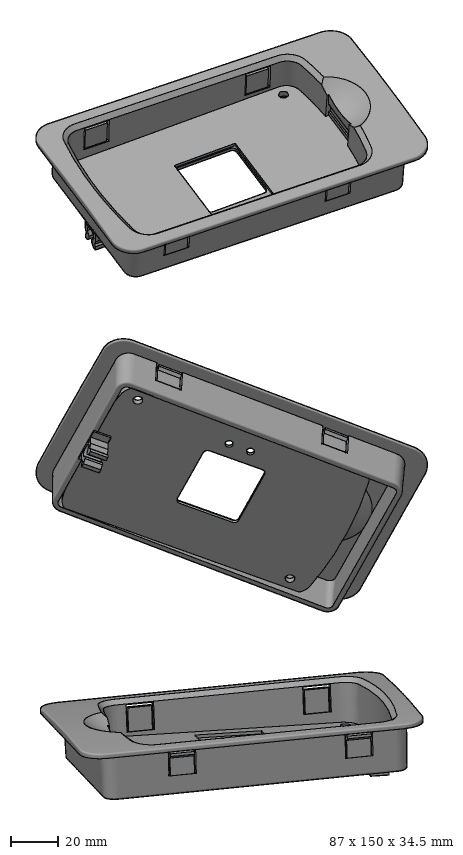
import cadquery as cq
import math

TILT = 2.0

FLANGE_WIDTH = 87.0
FLANGE_LENGTH = 150.0
FLANGE_CORNER = 10.0
FLANGE_HEIGHT = 3.5
CROWN_RADIUS = 644.9
FLANGE_TOP_FILLET = 0.7
FLANGE_BOTTOM_FILLET = 0.5
RIM_CHAMFER = 2.1

SKIRT_HALF_WIDTH = 38.1
SKIRT_FRONT = -68.2
SKIRT_BACK = 65.5
SKIRT_DEPTH = 20.2
SKIRT_CORNER = 6.0
SKIRT_INNER_CORNER = 3.0
SKIRT_WALL = 2.5
SKIRT_DRAFT = 1.5
SKIRT_BOTTOM_FILLET = 0.9

POCKET_HALF_WIDTH = 35.7
POCKET_FRONT = -65.2
POCKET_BACK = 51.5
POCKET_CORNER = 7.5
POCKET_END_RADIUS = 172.5
POCKET_DRAFT = 1.5
TRAY_WALL = 2.4

FLOOR_TOP = -15.0
FLOOR_THICKNESS = 2.8
FLOOR_BOTTOM = FLOOR_TOP - FLOOR_THICKNESS

SCOOP_RADIUS = 27.7
SCOOP_RIM_RADIUS = 18.5
SCOOP_Y = 45.6

PANEL_WIDTH = 20.1
PANEL_Y = 51.7
LATCH_SLOT_LIFT = 2.2
LATCH_SLOT_HEIGHT = 4.0
LATCH_SLOT_DEPTH = 0.7

RECESS_LEFT = -13.3
RECESS_RIGHT = 30.0
RECESS_FRONT = -20.4
RECESS_BACK = 8.7
RECESS_DEPTH = 1.3
OPENING_WIDTH = 30.7
OPENING_MARGIN = 0.6
OPENING_CORNER = 2.1
SENSOR_HOLE_DIAMETER = 3.5
SENSOR_HOLES = [(24.7, -2.4), (24.7, -12.3)]
SCREW_HOLE_DIAMETER = 4.0
SCREW_HOLES = [(-30.1, 40.6), (30.1, -57.1)]

TAB_CENTRES = [31.3, -45.9]
TAB_WIDTH = 10.5
TAB_THICKNESS = 1.8
TAB_FACE = 37.6
TAB_TOP = -1.5
WINDOW_WIDTH = 12.0
WINDOW_DEPTH = 12.0
BARB_TIP = 39.0
BARB_LEAD = 0.5
BARB_FLAT = 1.2
BARB_HEIGHT = 2.7

CLIP_BACK = -59.5
CLIP_LENGTH = 8.1
CLIP_PAD_WIDTH = 15.9
CLIP_PAD_DROP = 1.0
CLIP_HALF_WIDTH = 4.8
CLIP_SLOT_RADIUS = 2.77
CLIP_SLOT_SPRING = -4.6
CLIP_SLOT_SIDE = 0.6
CLIP_HOOK = [(4.8, -5.4), (3.7, -7.8), (4.5, -8.7), (4.5, -10.6), (2.7, -10.6), (1.2, -8.8), (1.2, -7.2)]
CLIP_HOLE_DIAMETER = 1.6
CLIP_HOLE_DROP = 1.5


def block(x0, x1, y0, y1, z0, z1):
    return cq.Workplane("XY").box(x1 - x0, y1 - y0, z1 - z0, centered=False).translate((x0, y0, z0))


def slab(z0, z1):
    """A level layer wider and longer than the part."""
    return block(-FLANGE_WIDTH, FLANGE_WIDTH, -FLANGE_LENGTH, FLANGE_LENGTH, z0, z1)


def tilted(shape):
    return shape.rotate((0, 0, 0), (1, 0, 0), -TILT)


def both_sides(shape):
    return shape.union(shape.mirror("YZ"))


def pocket_block(grow):
    """Drafted block with straight sides and bowed ends, from the top of the flange downwards."""
    half_width = POCKET_HALF_WIDTH + grow
    front = POCKET_FRONT - grow
    back = POCKET_BACK + grow
    bow = POCKET_END_RADIUS - math.sqrt(POCKET_END_RADIUS**2 - half_width**2)
    return (
        cq.Workplane("XY", origin=(0, 0, FLANGE_HEIGHT))
        .sketch()
        .segment((half_width, front + bow), (half_width, back - bow))
        .arc((half_width, back - bow), (0, back), (-half_width, back - bow))
        .segment((-half_width, front + bow))
        .arc((-half_width, front + bow), (0, front), (half_width, front + bow))
        .assemble()
        .vertices()
        .fillet(POCKET_CORNER + grow)
        .finalize()
        .extrude(-SKIRT_DEPTH - FLANGE_HEIGHT, taper=POCKET_DRAFT)
    )


def flange():
    """Crowned plate with the chamfered mouth of the pocket."""
    plate = (
        cq.Workplane("XY")
        .rect(FLANGE_WIDTH, FLANGE_LENGTH)
        .extrude(FLANGE_HEIGHT)
        .edges("|Z")
        .fillet(FLANGE_CORNER)
    )
    crown = (
        cq.Workplane("XZ", origin=(0, 0, FLANGE_HEIGHT - CROWN_RADIUS))
        .circle(CROWN_RADIUS)
        .extrude(FLANGE_LENGTH, both=True)
    )
    plate = plate.intersect(crown)
    plate = plate.faces(">Z").edges().fillet(FLANGE_TOP_FILLET)
    plate = plate.faces("<Z").edges().fillet(FLANGE_BOTTOM_FILLET)
    mouth = cq.selectors.BoxSelector(
        (-SKIRT_HALF_WIDTH, SKIRT_FRONT, RIM_CHAMFER / 2),
        (SKIRT_HALF_WIDTH, SKIRT_BACK, 2 * FLANGE_HEIGHT),
        boundingbox=True,
    )
    return plate.cut(pocket_block(0)).edges(mouth).chamfer(RIM_CHAMFER)


def skirt_block(inset, corner):
    width = 2 * (SKIRT_HALF_WIDTH - inset)
    length = SKIRT_BACK - SKIRT_FRONT - 2 * inset
    return (
        cq.Workplane("XY", origin=(0, (SKIRT_FRONT + SKIRT_BACK) / 2, 0))
        .sketch()
        .rect(width, length)
        .vertices()
        .fillet(corner)
        .finalize()
        .extrude(-SKIRT_DEPTH, taper=SKIRT_DRAFT)
    )


def skirt_envelope():
    return skirt_block(0, SKIRT_CORNER).faces("<Z").edges().fillet(SKIRT_BOTTOM_FILLET)


def skirt():
    return skirt_envelope().cut(skirt_block(SKIRT_WALL, SKIRT_INNER_CORNER))


def scoop(grow):
    centre_height = FLANGE_HEIGHT + math.sqrt(SCOOP_RADIUS**2 - SCOOP_RIM_RADIUS**2)
    return cq.Workplane("XY").sphere(SCOOP_RADIUS + grow).translate((0, SCOOP_Y, centre_height))


def tray_envelope():
    """Solid around the pocket and the scoop, inside the skirt and down to the floor underside."""
    envelope = pocket_block(TRAY_WALL).union(scoop(TRAY_WALL)).intersect(skirt_envelope())
    return tilted(envelope).intersect(slab(FLOOR_BOTTOM, SKIRT_DEPTH))


def tray_cavity():
    pocket = tilted(pocket_block(0)).intersect(slab(FLOOR_TOP, SKIRT_DEPTH))
    return pocket.union(tilted(scoop(0)))


def latch():
    """Flat panel set into the bowed back wall, with a slot across it."""
    half = PANEL_WIDTH / 2
    slot_bottom = FLOOR_TOP + LATCH_SLOT_LIFT
    panel = block(-half, half, SCOOP_Y, PANEL_Y, FLOOR_TOP, -RIM_CHAMFER)
    slot = block(
        -half, half, SCOOP_Y, PANEL_Y + LATCH_SLOT_DEPTH,
        slot_bottom, slot_bottom + LATCH_SLOT_HEIGHT,
    )
    return panel.union(slot)


def floor_holes(points, diameter):
    floor = cq.Workplane("XY", origin=(0, 0, FLOOR_TOP))
    return floor.pushPoints(points).circle(diameter / 2).extrude(-FLOOR_THICKNESS)


def floor_window():
    recess = block(
        RECESS_LEFT, RECESS_RIGHT,
        RECESS_FRONT, RECESS_BACK,
        FLOOR_TOP - RECESS_DEPTH, FLOOR_TOP,
    )
    opening_left = RECESS_LEFT + OPENING_MARGIN
    opening = block(
        opening_left, opening_left + OPENING_WIDTH,
        RECESS_FRONT, RECESS_BACK - OPENING_MARGIN,
        FLOOR_BOTTOM, FLOOR_TOP,
    )
    return recess.union(opening.edges("|Z").fillet(OPENING_CORNER))


def side_window(y):
    return block(
        SKIRT_HALF_WIDTH - 2 * SKIRT_WALL, BARB_TIP,
        y - WINDOW_WIDTH / 2, y + WINDOW_WIDTH / 2,
        -WINDOW_DEPTH, 0,
    )


def snap_tab(y):
    inner = TAB_FACE - TAB_THICKNESS
    profile = [
        (inner, -WINDOW_DEPTH),
        (inner, TAB_TOP),
        (TAB_FACE, TAB_TOP),
        (BARB_TIP, TAB_TOP - BARB_LEAD),
        (BARB_TIP, TAB_TOP - BARB_LEAD - BARB_FLAT),
        (TAB_FACE, TAB_TOP - BARB_HEIGHT),
        (TAB_FACE, -WINDOW_DEPTH),
    ]
    return cq.Workplane("XZ", origin=(0, y + TAB_WIDTH / 2, 0)).polyline(profile).close().extrude(TAB_WIDTH)


def clip():
    """Two hooked legs around a round-topped slot, on a pad under the floor."""
    slot = CLIP_SLOT_RADIUS
    spring = CLIP_SLOT_SPRING
    plane = cq.Workplane("XZ", origin=(0, CLIP_BACK, FLOOR_BOTTOM))
    legs = (
        plane.polyline([(-CLIP_HALF_WIDTH, 0), (CLIP_HALF_WIDTH, 0), *CLIP_HOOK])
        .lineTo(slot, spring - CLIP_SLOT_SIDE)
        .lineTo(slot, spring)
        .threePointArc((0, spring + slot), (-slot, spring))
        .lineTo(-slot, spring - CLIP_SLOT_SIDE)
    )
    for x, z in reversed(CLIP_HOOK):
        legs = legs.lineTo(-x, z)
    legs = legs.close().extrude(CLIP_LENGTH)
    pad = block(
        -CLIP_PAD_WIDTH / 2, CLIP_PAD_WIDTH / 2,
        CLIP_BACK - CLIP_LENGTH, CLIP_BACK,
        FLOOR_BOTTOM - CLIP_PAD_DROP, FLOOR_BOTTOM,
    )
    holes = (
        plane.pushPoints([(-slot, -CLIP_HOLE_DROP), (slot, -CLIP_HOLE_DROP)])
        .circle(CLIP_HOLE_DIAMETER / 2)
        .extrude(CLIP_LENGTH)
    )
    return legs.union(pad).cut(holes)


body = tilted(skirt().union(flange())).union(tray_envelope())
body = body.cut(tray_cavity()).cut(latch()).cut(floor_window())
body = body.cut(floor_holes(SCREW_HOLES, SCREW_HOLE_DIAMETER))
body = body.cut(floor_holes(SENSOR_HOLES, SENSOR_HOLE_DIAMETER))
for tab_y in TAB_CENTRES:
    body = body.cut(tilted(both_sides(side_window(tab_y))))
    body = body.union(tilted(both_sides(snap_tab(tab_y))))
result = body.union(clip())